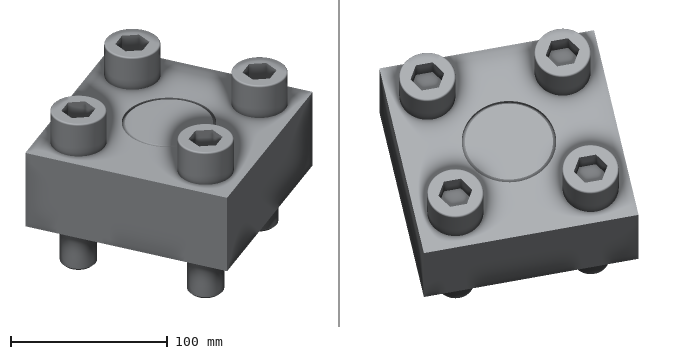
import cadquery as cq

plate_side = 140.0
plate_height = 55.0

spigot_diameter = 90.0
spigot_height = 4.2

groove_outer_diameter = 60.3
groove_inner_diameter = 56.3
groove_depth = 2.1

screw_spacing = 88.2
shank_diameter = 24.0
shank_projection = 35.0
shank_chamfer = 2.0
head_diameter = 36.0
head_height = shank_diameter
head_edge_radius = 1.1
socket_across_flats = 19.0
socket_depth = 12.0


def make_body():
    plate = cq.Workplane("XY").box(plate_side, plate_side, plate_height, centered=(True, True, False))
    spigot = cq.Workplane("XY").circle(spigot_diameter / 2).extrude(-spigot_height)
    return plate.union(spigot)


def make_seal_groove():
    """Ring of triangular section, deepest at its outer wall."""
    inner_radius = groove_inner_diameter / 2
    outer_radius = groove_outer_diameter / 2
    section = [
        (inner_radius, plate_height),
        (outer_radius, plate_height),
        (outer_radius, plate_height - groove_depth),
    ]
    return cq.Workplane("XZ").polyline(section).close().revolve(360, (0, 0), (0, 1))


def make_screw():
    """Screw on the Z axis, with its head resting on the plate."""
    shank = (
        cq.Workplane("XY")
        .workplane(offset=-shank_projection)
        .circle(shank_diameter / 2)
        .extrude(shank_projection + plate_height)
        .faces("<Z")
        .chamfer(shank_chamfer)
    )
    head = (
        cq.Workplane("XY")
        .workplane(offset=plate_height)
        .circle(head_diameter / 2)
        .extrude(head_height)
        .faces(">Z")
        .edges()
        .fillet(head_edge_radius)
    )
    socket = (
        cq.Workplane("XY")
        .workplane(offset=plate_height + head_height)
        .polygon(6, socket_across_flats, circumscribed=True)
        .extrude(-socket_depth)
    )
    return shank.union(head).cut(socket)


result = make_body().cut(make_seal_groove())
screw = make_screw()
for side_x in (-1, 1):
    for side_y in (-1, 1):
        position = (side_x * screw_spacing / 2, side_y * screw_spacing / 2, 0)
        result = result.union(screw.translate(position))